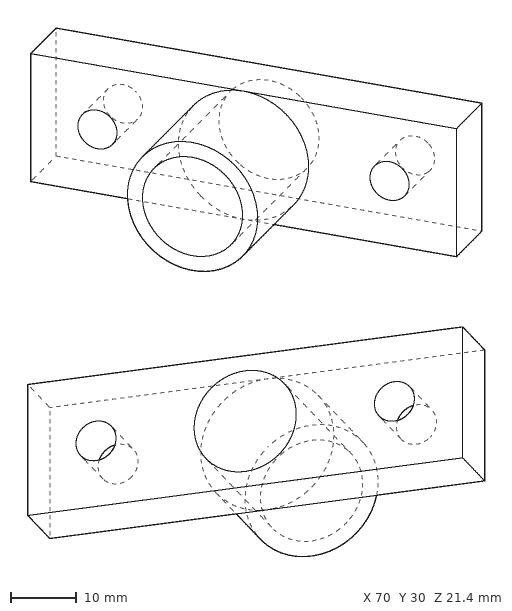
import cadquery as cq

plate_length = 70.0
plate_height = 21.4
plate_thickness = 10.0

boss_diameter = plate_height
boss_length = 20.0
bore_diameter = 16.45

hole_diameter = 6.45
hole_spacing = 48.0

plate = cq.Workplane("XZ").rect(plate_length, plate_height).extrude(-plate_thickness)
boss = cq.Workplane("XZ").circle(boss_diameter / 2).extrude(boss_length)

bore = (
    cq.Workplane("XZ", origin=(0, plate_thickness, 0))
    .circle(bore_diameter / 2)
    .extrude(plate_thickness + boss_length)
)

mounting_holes = (
    cq.Workplane("XZ")
    .pushPoints([(side * hole_spacing / 2, 0) for side in (-1, 1)])
    .circle(hole_diameter / 2)
    .extrude(-plate_thickness)
)

result = plate.union(boss).cut(bore).cut(mounting_holes)